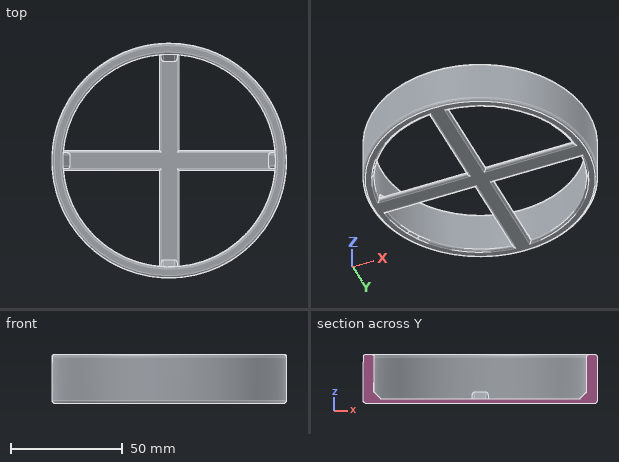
import cadquery as cq
outer_diameter = 105.0
inner_diameter = 95.0
height = 22.0
rim_fillet = 1.0
base_fillet = 1.0
base_chamfer = 1.0
chamfer_blend = 0.9

spoke_width = 8.8
spoke_height = 2.2
spoke_fillet = 0.79

wedge_width = spoke_width - 2 * spoke_fillet
wedge_length = 3.2
wedge_height = 3.2
wedge_fillet = 1.2

inner_radius = inner_diameter / 2
wall = (outer_diameter - inner_diameter) / 2
middle_radius = inner_radius + wall / 2


def make_ring():
    """Upright ring with a rounded rim, a softened chamfer at the outer base and a rounded inner base."""
    ring = cq.Workplane("XY").circle(outer_diameter / 2).circle(inner_radius).extrude(height)
    ring = ring.faces(">Z").edges().fillet(rim_fillet)
    ring = ring.faces("<Z").edges(cq.selectors.RadiusNthSelector(1)).chamfer(base_chamfer)
    chamfer_top = ring.edges(cq.selectors.RadiusNthSelector(-1)).edges("<Z")
    ring = chamfer_top.fillet(chamfer_blend)
    return ring.faces("<Z").edges(cq.selectors.RadiusNthSelector(0)).fillet(base_fillet)


def make_cross():
    """Two crossed bars, rounded above and below, ending inside the ring wall."""
    bar_length = 2 * middle_radius
    bar_x = cq.Workplane("XY").box(bar_length, spoke_width, spoke_height, centered=(True, True, False))
    bar_y = bar_x.rotate((0, 0, 0), (0, 0, 1), 90)
    cross = bar_x.union(bar_y)
    cross = cross.faces(">Z").edges().fillet(spoke_fillet)
    return cross.faces("<Z").edges().fillet(base_fillet)


def make_wedge():
    """Ramp on the +X spoke, rising toward the wall, with rounded slope edges."""
    toe = inner_radius - wedge_length
    slope = wedge_height / wedge_length
    rise = slope * (middle_radius - toe)
    profile = [
        (toe, spoke_height),
        (middle_radius, spoke_height + rise),
        (middle_radius, base_fillet),
        (toe, base_fillet),
    ]
    wedge = cq.Workplane("XZ").polyline(profile).close().extrude(wedge_width / 2, both=True)
    slope_normal = cq.Vector(-wedge_height, 0, wedge_length)
    slope_face = wedge.faces(cq.selectors.ParallelDirSelector(slope_normal))
    return slope_face.edges("not |Y").fillet(wedge_fillet)


body = make_ring().union(make_cross())

wedge = make_wedge()
for angle in (0, 90, 180, 270):
    body = body.union(wedge.rotate((0, 0, 0), (0, 0, 1), angle))

result = body